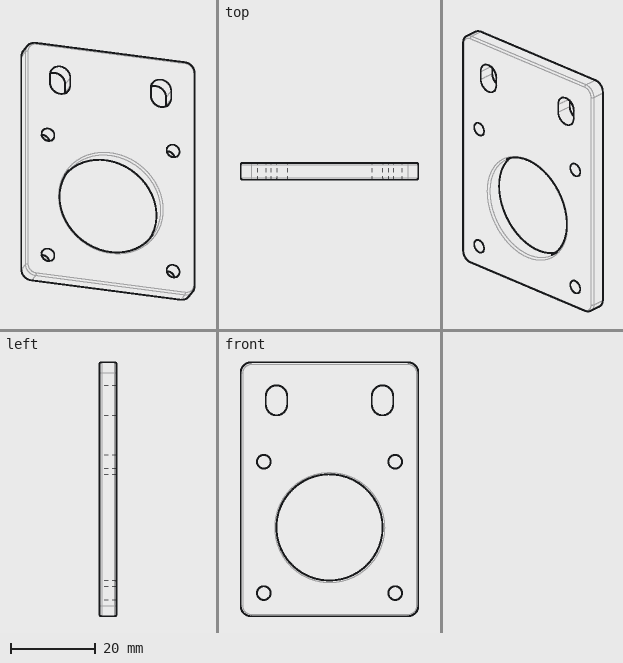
import cadquery as cq

width = 42.0
thickness = 4.0
height = 60.0
corner_radius = 2.5
edge_radius = 0.5

bore_diameter = 25.0
bore_height = 21.0
screw_diameter = 3.2
screw_spacing = 31.0

slot_width = 5.0
slot_length = 7.0
slot_spacing = 25.0
slot_drop = 9.0

bore_z = bore_height - height / 2
slot_z = height / 2 - slot_drop


def face_plane(z):
    """Workplane on the +Y face of the plate, facing -Y, at height z."""
    return cq.Workplane("XZ", origin=(0, thickness / 2, z))


def make_plate():
    """Bored plate centred on the origin, with the outline and bore edges rounded on both faces."""
    plate = cq.Workplane("XY").box(width, thickness, height)
    plate = plate.edges("|Y").fillet(corner_radius)
    bore = face_plane(bore_z).circle(bore_diameter / 2).extrude(thickness)
    return plate.cut(bore).faces("<Y or >Y").edges().fillet(edge_radius)


def make_screw_holes():
    return (
        face_plane(bore_z)
        .rect(screw_spacing, screw_spacing, forConstruction=True)
        .vertices()
        .circle(screw_diameter / 2)
        .extrude(thickness)
    )


def make_slots():
    return (
        face_plane(slot_z)
        .rarray(slot_spacing, 0.6, 2, 1)
        .slot2D(slot_length, slot_width, 90)
        .extrude(thickness)
    )


result = make_plate().cut(make_screw_holes()).cut(make_slots())